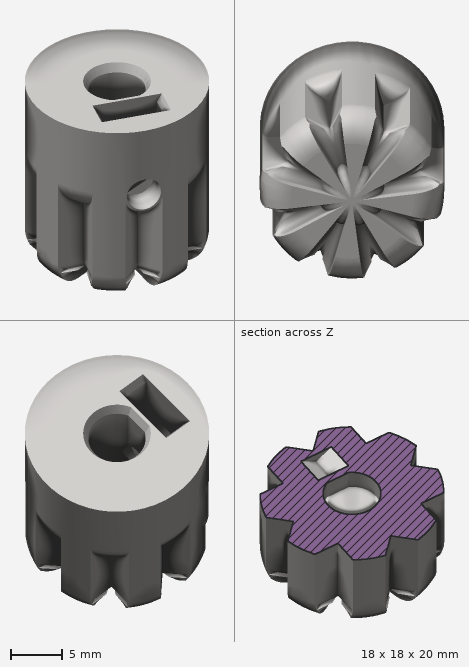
import cadquery as cq
import math

height = 20.0
outer_radius = 9.0
foot_rounding = 3.0

groove_count = 8
groove_pitch = 360.0 / groove_count
groove_root_radius = 6.9
groove_wall_angle = 45.0
collar_bottom = 10.0
collar_rounding = 2.7

slot_wall_angle = groove_pitch / 4
slot_roof = 2.0
slot_roof_fillet = 1.0
groove_lip_round = 0.9
hub_radius = 3.5

bore_radius = 2.8
bore_flat = 2.5
bore_depth = 12.0

lead_in = 0.5
lead_in_angle = 60.0
lead_in_depth = lead_in * math.tan(math.radians(lead_in_angle))

screw_diameter = 3.5
screw_height = 12.5
boss_radius = 2.1
boss_edge_round = 0.3
nut_start = 3.32
nut_thickness = 3.0
nut_half_width = 3.05
nut_floor_angle = 30.0

reach = 2 * outer_radius


def rounded_cylinder(radius, bottom, top, rounding):
    """Upright cylinder with a rounded lower rim."""
    cylinder = cq.Workplane("XY").workplane(offset=bottom).circle(radius).extrude(top - bottom)
    return cylinder.faces("<Z").edges().fillet(rounding)


def wedge(profile, root_radius, wall_angle):
    """Void along +X, symmetric in Y, sharing one wall profile on both sides.

    The profile lies in YZ, with Y as the distance into the wall. It is swept along X,
    turned to the wall angle, mirrored, and the two sweeps are intersected.
    """
    side = profile.extrude(reach, both=True)
    left = side.rotate((0, 0, 0), (0, 0, 1), wall_angle)
    right = left.mirror("XZ")
    return left.intersect(right).translate((root_radius, 0, 0))


def straight_profile():
    """Plain vertical wall over the full height."""
    return (
        cq.Workplane("YZ")
        .moveTo(-reach, 0)
        .lineTo(0, 0)
        .lineTo(0, height)
        .lineTo(-reach, height)
        .close()
    )


def slot_profile():
    """Slot wall with a concave fillet into the roof."""
    diagonal = slot_roof_fillet * math.sqrt(0.5)
    spring = slot_roof - slot_roof_fillet
    return (
        cq.Workplane("YZ")
        .moveTo(-reach, 0)
        .lineTo(0, 0)
        .lineTo(0, spring)
        .threePointArc((diagonal - slot_roof_fillet, spring + diagonal), (-slot_roof_fillet, slot_roof))
        .lineTo(-reach, slot_roof)
        .close()
    )


def lip_profile():
    """Convex rounding from the groove wall into the slot roof."""
    diagonal = groove_lip_round * math.sqrt(0.5)
    lip_top = slot_roof + groove_lip_round
    return (
        cq.Workplane("YZ")
        .moveTo(-reach, slot_roof)
        .lineTo(groove_lip_round, slot_roof)
        .threePointArc((groove_lip_round - diagonal, lip_top - diagonal), (0, lip_top))
        .lineTo(-reach, lip_top)
        .close()
    )


def groove_and_slot():
    """Complete void of one grip groove with the foot slot below it."""
    groove = wedge(straight_profile(), groove_root_radius, groove_wall_angle)
    slot = wedge(slot_profile(), 0, slot_wall_angle)
    slot_sector = wedge(straight_profile(), 0, slot_wall_angle)
    lip = wedge(lip_profile(), groove_root_radius, groove_wall_angle).intersect(slot_sector)
    return groove.union(slot).union(lip)


def shaft_bore():
    """Blind D-shaped bore with a tapered lead-in that follows the flat."""
    bore_bottom = height - bore_depth
    bore = cq.Workplane("XY").workplane(offset=bore_bottom).circle(bore_radius).extrude(bore_depth)
    flat_limit = cq.Workplane("XY").box(reach, reach, height, centered=(False, True, False))
    bore = bore.cut(flat_limit.translate((bore_flat, 0, 0)))

    cone = (
        cq.Workplane("XZ")
        .moveTo(0, height - lead_in_depth)
        .lineTo(bore_radius, height - lead_in_depth)
        .lineTo(bore_radius + lead_in, height)
        .lineTo(0, height)
        .close()
        .revolve(360, (0, 0), (0, 1))
    )
    taper_limit = (
        cq.Workplane("XZ")
        .moveTo(-reach, height - lead_in_depth)
        .lineTo(bore_flat, height - lead_in_depth)
        .lineTo(bore_flat + lead_in, height)
        .lineTo(-reach, height)
        .close()
        .extrude(reach, both=True)
    )
    return bore.union(cone.intersect(taper_limit))


def nut_pocket():
    """Pocket for a hexagon nut, open at the top, with a pointed floor."""
    slope = math.radians(nut_floor_angle)
    corner_radius = nut_half_width / math.cos(slope)
    shoulder = screw_height - corner_radius * math.sin(slope)
    return (
        cq.Workplane("YZ")
        .workplane(offset=nut_start)
        .moveTo(0, screw_height - corner_radius)
        .lineTo(nut_half_width, shoulder)
        .lineTo(nut_half_width, height - lead_in_depth)
        .lineTo(nut_half_width + lead_in, height)
        .lineTo(-nut_half_width - lead_in, height)
        .lineTo(-nut_half_width, height - lead_in_depth)
        .lineTo(-nut_half_width, shoulder)
        .close()
        .extrude(nut_thickness)
    )


def along_screw(radius):
    """Round bar along the screw axis, from the knob axis to the outside."""
    return cq.Workplane("YZ").center(0, screw_height).circle(radius).extrude(outer_radius)


grip = rounded_cylinder(outer_radius, 0, height, foot_rounding)
void = groove_and_slot()
for index in range(groove_count):
    grip = grip.cut(void.rotate((0, 0, 0), (0, 0, 1), index * groove_pitch))
hub = rounded_cylinder(hub_radius, 0, collar_bottom, foot_rounding)
collar = rounded_cylinder(outer_radius, collar_bottom, height, collar_rounding)
body = grip.union(hub).union(collar)

envelope = cq.Workplane("XY").circle(outer_radius).extrude(height)
boss = along_screw(boss_radius).faces(">X").edges().fillet(boss_edge_round)
body = body.union(boss.intersect(envelope))

result = body.cut(shaft_bore()).cut(nut_pocket()).cut(along_screw(screw_diameter / 2))